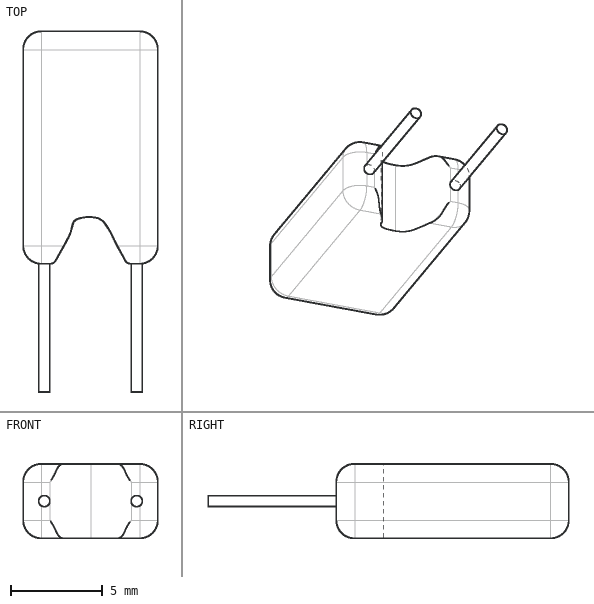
import cadquery as cq

BODY_WIDTH = 7.37
BODY_LENGTH = 12.7
BODY_HEIGHT = 4.08
EDGE_RADIUS = 1.0

NOTCH_DEPTH = 2.56
NOTCH_MOUTH_HALF_WIDTH = 2.23
NOTCH_LIP_POINT = (1.81, 0.33)
NOTCH_FLANK_HALF_WIDTH = 1.44
NOTCH_CROWN_POINT = (1.06, 1.77)

OVERALL_LENGTH = 19.7
LEAD_DIAMETER = 0.61
LEAD_PITCH = 5.05
LEAD_LENGTH = OVERALL_LENGTH - BODY_LENGTH


def make_notch_cutter():
    """Bell-shaped prism that passes through the full body height."""
    lip_half_width, lip_depth = NOTCH_LIP_POINT
    crown_half_width, crown_depth = NOTCH_CROWN_POINT
    apex = (0, NOTCH_DEPTH)
    left_flank = [
        (-NOTCH_MOUTH_HALF_WIDTH, 0),
        (-lip_half_width, lip_depth),
        (-NOTCH_FLANK_HALF_WIDTH, EDGE_RADIUS),
        (-crown_half_width, crown_depth),
    ]
    right_flank = [(-x, y) for x, y in reversed(left_flank)]
    level = (1, 0)
    return (
        cq.Workplane("XY")
        .workplane(offset=-BODY_HEIGHT / 2)
        .spline([*left_flank, apex], tangents=[level, level])
        .spline(right_flank, tangents=[level, level], includeCurrent=True)
        .close()
        .extrude(BODY_HEIGHT)
    )


def make_body():
    """Block rounded on every edge, with its lead end on the plane Y = 0."""
    block = cq.Workplane("XY").box(
        BODY_WIDTH, BODY_LENGTH, BODY_HEIGHT, centered=(True, False, True)
    )
    return block.edges().fillet(EDGE_RADIUS).cut(make_notch_cutter())


def make_lead(x_position):
    """Straight round wire that starts on the lead end of the body and runs toward -Y."""
    return (
        cq.Workplane("XZ")
        .center(x_position, 0)
        .circle(LEAD_DIAMETER / 2)
        .extrude(LEAD_LENGTH)
    )


body = make_body()
leads = [make_lead(side * LEAD_PITCH / 2) for side in (-1, 1)]

result = cq.Compound.makeCompound([body.val(), *[lead.val() for lead in leads]])